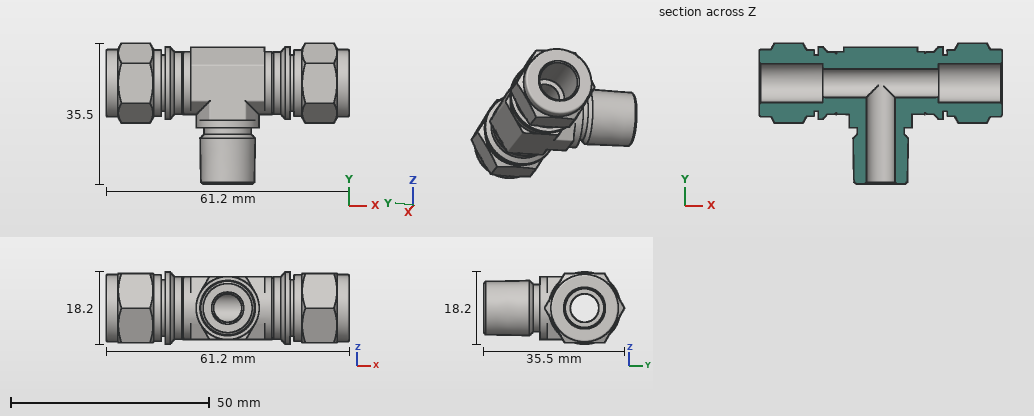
import cadquery as cq
import math


body_flats = 15.88
body_half_length = 9.3
body_edge_radius = 0.5
branch_body_length = 9.4
collar_end = 11.25

run_length = 61.23
run_half_length = run_length / 2
ring_start = 11.15
ring_chamfer = 0.4
ring_diameter = 15.8
cone_start = 13.4
flange_start = 14.5
flange_end = 15.75
flange_diameter = 18.25
neck_diameter = 14.28

nut_start = 16.7
nut_front_diameter = 16.8
nut_front_radius = 0.25
hex_start = 18.6
hex_end = 27.65
hex_flats = 17.4625
hex_chamfer_angle = 30
nut_rear_diameter = 17.0
nut_rear_radius = 0.5

branch_length = 25.4
stub_neck_diameter = 12.0
stub_neck_end = 12.9
thread_start = 13.88
thread_diameter = 13.95
thread_tip_start = 24.9
thread_tip_diameter = 13.55
thread_face_diameter = 12.35

bore_diameter = 7.11
branch_bore_chamfer = 0.5
socket_diameter = 9.73
socket_depth = 16.0
socket_chamfer = 0.4

cos30 = math.cos(math.radians(30))


def revolve_about_x(profile):
    """Solid of revolution about X from (station, diameter) points running from the centre outwards."""
    points = [(x, diameter / 2) for x, diameter in profile]
    first_x = points[0][0]
    last_x = points[-1][0]
    outline = [(first_x, 0)] + points + [(last_x, 0)]
    return cq.Workplane("XY").polyline(outline).close().revolve(360, (0, 0, 0), (1, 0, 0))


def turn_to_branch(solid):
    """Swing a solid built along +X onto the -Y branch axis."""
    return solid.rotate((0, 0, 0), (0, 0, 1), -90)


def hex_prism(across_flats, start, end):
    """Hexagonal bar along X with flats on top and bottom."""
    across_corners = across_flats / cos30
    return cq.Workplane("YZ").workplane(offset=start).polygon(6, across_corners).extrude(end - start)


def run_body():
    """Forged run: a full hexagon at the back, rounded below the slanted flats on the branch side."""
    length = 2 * body_half_length
    bar = hex_prism(body_flats, -body_half_length, body_half_length)
    bar = bar.edges("|X").fillet(body_edge_radius)
    apothem = body_flats / 2
    tangent_y = -apothem * cos30
    keep = cq.Workplane("XY").box(length, body_flats * 2, body_flats * 2)
    keep = keep.translate((0, tangent_y + body_flats, 0))
    barrel = cq.Workplane("YZ").circle(apothem).extrude(body_half_length, both=True)
    return bar.intersect(keep).union(barrel)


def branch_body():
    """Forged branch: top and bottom hexagon flats blended into a round barrel, then a round collar."""
    apothem = body_flats / 2
    bar = hex_prism(body_flats, 0, branch_body_length).edges("|X").fillet(body_edge_radius)
    keep = cq.Workplane("XY").box(2 * branch_body_length, 2 * apothem * cos30, 2 * body_flats)
    barrel = cq.Workplane("YZ").circle(apothem).extrude(collar_end)
    return turn_to_branch(bar.intersect(keep).union(barrel))


def run_end():
    """Turned ring, cone and flange between the body and the tube nut."""
    return revolve_about_x([
        (0, body_flats),
        (ring_start, body_flats),
        (ring_start, ring_diameter - 2 * ring_chamfer),
        (ring_start + ring_chamfer, ring_diameter),
        (cone_start, ring_diameter),
        (flange_start, flange_diameter),
        (flange_end, flange_diameter),
        (flange_end, neck_diameter),
        (nut_start, neck_diameter),
    ])


def tube_nut():
    """Nut with a chamfered hexagon between two round shoulders."""
    hex_middle = (hex_start + hex_end) / 2
    sleeve = revolve_about_x([
        (nut_start, nut_front_diameter),
        (hex_middle, nut_front_diameter),
        (hex_middle, nut_rear_diameter),
        (run_half_length, nut_rear_diameter),
    ])
    sleeve = sleeve.faces("<X").edges().fillet(nut_front_radius)
    sleeve = sleeve.faces(">X").edges().fillet(nut_rear_radius)
    across_corners = hex_flats / cos30
    chamfer_slope = math.tan(math.radians(hex_chamfer_angle))
    front_chamfer = (across_corners - nut_front_diameter) / 2 * chamfer_slope
    rear_chamfer = (across_corners - nut_rear_diameter) / 2 * chamfer_slope
    envelope = revolve_about_x([
        (hex_start, nut_front_diameter),
        (hex_start + front_chamfer, across_corners),
        (hex_end - rear_chamfer, across_corners),
        (hex_end, nut_rear_diameter),
    ])
    return sleeve.union(hex_prism(hex_flats, hex_start, hex_end).intersect(envelope))


def male_branch():
    """Neck and tapered thread envelope of the branch."""
    return turn_to_branch(revolve_about_x([
        (0, stub_neck_diameter),
        (stub_neck_end, stub_neck_diameter),
        (thread_start, thread_diameter),
        (thread_tip_start, thread_tip_diameter),
        (branch_length, thread_face_diameter),
    ]))


def run_bore():
    """Through bore of one half of the run with its tube socket and entry chamfer."""
    socket_start = run_half_length - socket_depth
    return revolve_about_x([
        (0, bore_diameter),
        (socket_start, bore_diameter),
        (socket_start, socket_diameter),
        (run_half_length - socket_chamfer, socket_diameter),
        (run_half_length, socket_diameter + 2 * socket_chamfer),
    ])


def branch_bore():
    """Bore of the branch with its entry chamfer."""
    return turn_to_branch(revolve_about_x([
        (0, bore_diameter),
        (branch_length - branch_bore_chamfer, bore_diameter),
        (branch_length, bore_diameter + 2 * branch_bore_chamfer),
    ]))


result = run_body().union(branch_body()).union(male_branch())
run_side = run_end().union(tube_nut())
for side in (run_side, run_side.mirror("YZ")):
    result = result.union(side)

half_bore = run_bore()
for cutter in (half_bore, half_bore.mirror("YZ"), branch_bore()):
    result = result.cut(cutter)